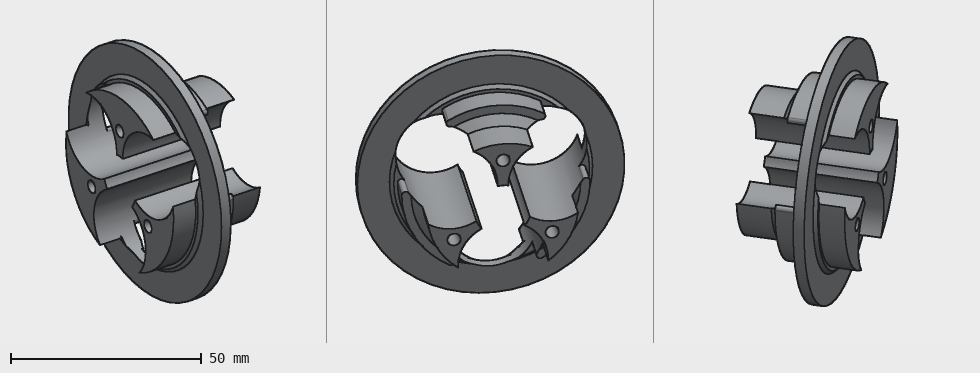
import cadquery as cq
import math

flange_radius = 35.5
flange_thickness = 3.0
collar_root_radius = 27.0
collar_chamfer = 1.0
hub_radius = 25.0
front_hub_length = 7.0
rear_hub_length = 7.0
cone_length = 2.5
tail_radius = 20.0
total_length = 31.0
cone_root_radius = tail_radius + cone_length

lug_count = 3
bore_radius = 12.0
bore_offset = 15.5
center_hole_radius = 7.5
screw_hole_radius = 1.8
screw_hole_offset = 15.05
tip_round_radius = 1.0
first_bore_angle = 30
first_lug_angle = first_bore_angle + 180 / lug_count
tolerance = 0.001

flange_back = flange_thickness / 2
flange_front = -flange_back
collar_back = flange_back + collar_chamfer
collar_front = -collar_back
hub_front = collar_front - front_hub_length
hub_back = collar_back + rear_hub_length
cone_back = hub_back + cone_length
tail_back = hub_front + total_length


def polar_points(radius, start_angle):
    """Evenly spaced (X, Z) points around the Y axis, one for each lug."""
    angles = [math.radians(start_angle + i * 360 / lug_count) for i in range(lug_count)]
    return [(radius * math.cos(a), radius * math.sin(a)) for a in angles]


def through_holes(points, radius):
    """Cylinders along Y that span the full length of the part."""
    plane = cq.Workplane("XZ", origin=(0, hub_front, 0))
    return plane.pushPoints(points).circle(radius).extrude(-total_length)


def turned_body():
    """Solid of revolution holding the flange, collars, hub, cone and tail."""
    collar_edge_radius = collar_root_radius - collar_chamfer
    profile = [
        (0, hub_front),
        (hub_radius, hub_front),
        (hub_radius, collar_front),
        (collar_edge_radius, collar_front),
        (collar_root_radius, flange_front),
        (flange_radius, flange_front),
        (flange_radius, flange_back),
        (collar_root_radius, flange_back),
        (collar_edge_radius, collar_back),
        (hub_radius, collar_back),
        (hub_radius, hub_back),
        (cone_root_radius, hub_back),
        (tail_radius, cone_back),
        (tail_radius, tail_back),
        (0, tail_back),
    ]
    return cq.Workplane("XY").polyline(profile).close().revolve(360, (0, 0, 0), (0, 1, 0))


def is_rear_tip(edge):
    """True for the sharp hub edges behind the flange, where a bore breaks the hub's outer face."""
    middle = edge.Center()
    runs_along_axis = edge.geomType() == "LINE"
    on_hub_surface = math.isclose(math.hypot(middle.x, middle.z), hub_radius, abs_tol=tolerance)
    behind_flange = collar_back < middle.y < hub_back
    return runs_along_axis and on_hub_surface and behind_flange


def is_lug_side(edge):
    """True when an edge lies on the wall of a bore."""
    middle = edge.Center()
    distances = [math.hypot(middle.x - x, middle.z - z) for x, z in bore_centers]
    return any(math.isclose(d, bore_radius, abs_tol=tolerance) for d in distances)


bore_centers = polar_points(bore_offset, first_bore_angle)

result = turned_body()
result = result.cut(through_holes(bore_centers, bore_radius))
result = result.cut(through_holes([(0, 0)], center_hole_radius))
result = result.cut(through_holes(polar_points(screw_hole_offset, first_lug_angle), screw_hole_radius))

rear_tips = result.edges().filter(is_rear_tip).filter(is_lug_side)
result = rear_tips.fillet(tip_round_radius)